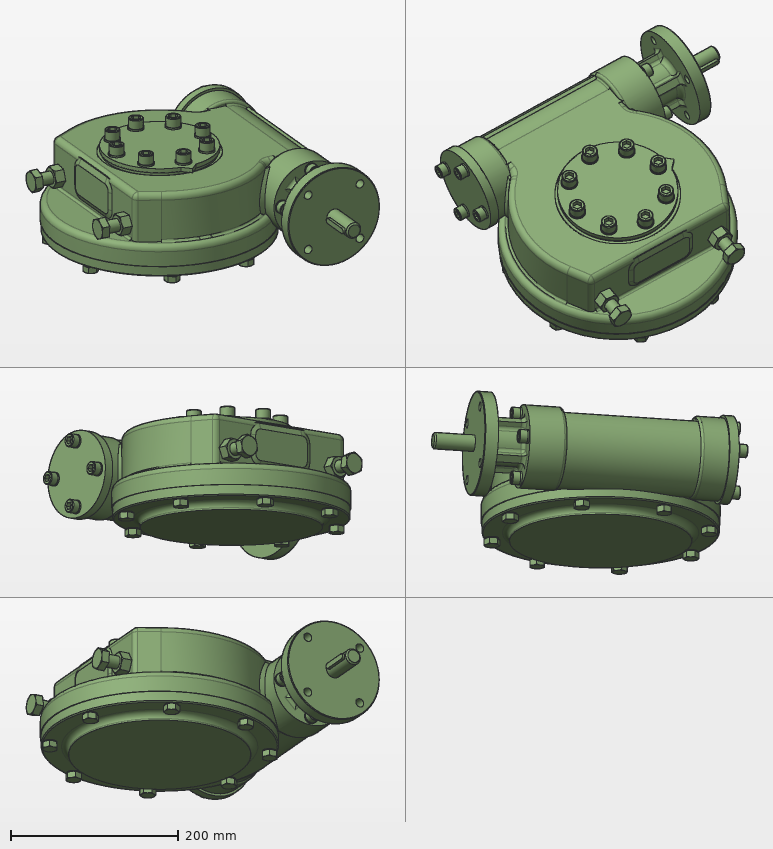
import cadquery as cq
import math


base_radius = 143.0
base_top = 51.0
base_edge_fillet = 8.0
plate_radius = 142.0
plate_top = 23.5
plate_bottom = 10.4
plate_chamfer = 1.5
spigot_radius = 109.0
spigot_fillet = 8.4

base_bolt_count = 8
base_bolt_circle_radius = 132.0
base_bolt_flats = 17.0
base_bolt_bottom = 1.2
base_bolt_washer_diameter = 16.6
base_bolt_washer_height = 1.2

worm_y = 135.42
worm_z = 69.0

housing_radius = 131.0
housing_top = 113.0
housing_front = -90.3
housing_edge_fillet = 8.0
housing_foot_fillet = 3.0
foot_front_length = 188.0
front_tangent_angle = 28.0
neck_half_width = 86.0
neck_corner_radius = 12.0
neck_tangent_angle = 45.0

tube_radius = 47.7
step_inner_y, step_inner_z = 26.8, 34.9
step_outer_y, step_outer_z = 31.4, 35.9
boss_radius = 50.0
boss_inner_x = 81.7
boss_edge_fillet = 3.7
boss_root_fillet = 2.3
boss_web_depth = 4.0
boss_web_spread = 5.2
left_boss_end = -116.0
right_boss_end = 128.0
end_cover_radius = 53.125
end_cover_face = -127.6

cover_recess_diameter = 150.25
cover_recess_depth = 2.0
cover_neck_diameter = 140.0
cover_diameter = 144.0
cover_bottom = 115.0
cover_top = 120.45
pointer_tip_radius = 81.5
pointer_half_width = 20.0
cover_screw_circle_radius = 58.75
cover_screw_count = 8

cover_screw = dict(head_diameter=18.0, flange_diameter=20.0, socket_flats=10.0, head_height=12.0)
end_screw = dict(head_diameter=16.0, flange_diameter=16.6, socket_flats=8.0, head_height=10.0)
screw_flange_height = 2.0
socket_depth = 6.0
screw_chamfer = 1.0
end_screw_circle_radius = 40.0
end_screw_count = 4

pad_width = 92.6
pad_height = 50.3
pad_center_z = 82.2
pad_corner_radius = 14.0
pad_projection = 2.3
pad_slope_width = 5.9

stop_bolt_x = 82.2
stop_bolt_diameter = 16.0
stop_hex_flats = 24.0
stop_nut_end = -103.3
stop_head_start = -120.3
stop_head_end = -130.3
left_stop_bolt = dict(x=-stop_bolt_x, nut_turn=-8.0, head_turn=-20.0)
right_stop_bolt = dict(x=stop_bolt_x, nut_turn=3.0, head_turn=26.0)

flange_start = 169.2
flange_end = 185.9
flange_diameter = 125.0
flange_chamfer = 1.0
flange_hole_circle = 100.0
flange_hole_diameter = 10.5
flange_hole_count = 4
adapter_radius = 25.0
rib_radius = 34.5
rib_width = 10.0
rib_count = 4
rib_root_fillet = 5.0
adapter_end_fillet = 5.0
adapter_flange_fillet = 7.0
shaft_diameter = 20.0
shaft_end = 235.63
shaft_chamfer = 2.0
key_width = 7.0
key_start = 190.0
key_end = 231.4
key_reach = 13.0

overlap = 2.0
tolerance = 0.1


def cylinder_x(radius, x_start, x_end):
    """Cylinder on the worm axis."""
    plane = cq.Workplane("YZ", origin=(x_start, worm_y, worm_z))
    return plane.circle(radius).extrude(x_end - x_start)


def root_ring(radius, fillet, face_x):
    """Concave ring filling the corner between a cylinder on the worm axis and a face at its +X end."""
    return (
        cq.Workplane("XY", origin=(0, worm_y, worm_z))
        .moveTo(face_x + overlap, radius - overlap)
        .lineTo(face_x - fillet, radius - overlap)
        .lineTo(face_x - fillet, radius)
        .radiusArc((face_x, radius + fillet), -fillet)
        .lineTo(face_x + overlap, radius + fillet)
        .close()
        .revolve(360, (0, 0, 0), (1, 0, 0))
    )


def hex_prism(flats, height, turn=0.0):
    """Hexagonal prism standing on the XY plane, its outer corners rounded off by a cone."""
    corner_diameter = flats / math.cos(math.pi / 6)
    prism = cq.Workplane("XY").polygon(6, corner_diameter).extrude(height)
    corner_break = (corner_diameter - flats) / 2
    blank = (
        cq.Workplane("XY")
        .circle(corner_diameter / 2)
        .extrude(height)
        .faces(">Z")
        .chamfer(corner_break / 2, corner_break)
    )
    return prism.intersect(blank).rotate((0, 0, 0), (0, 0, 1), turn)


def socket_screw(head_diameter, flange_diameter, socket_flats, head_height):
    """Flanged socket-head screw seated on the XY plane."""
    top = screw_flange_height + head_height
    flange = cq.Workplane("XY").workplane(offset=-overlap).circle(flange_diameter / 2)
    flange = flange.extrude(screw_flange_height + overlap)
    head = cq.Workplane("XY").circle(head_diameter / 2).extrude(top).faces(">Z").chamfer(screw_chamfer)
    socket_corners = socket_flats / math.cos(math.pi / 6)
    socket = cq.Workplane("XY").workplane(offset=top - socket_depth)
    socket = socket.polygon(6, socket_corners).extrude(socket_depth)
    return flange.union(head).cut(socket)


def place(piece, origin, normal):
    """Move a piece from the XY plane to a seat with the given outward normal."""
    x_direction = (0, 1, 0) if normal[1] == 0 else (1, 0, 0)
    plane = cq.Plane(origin=origin, xDir=x_direction, normal=normal)
    return cq.Workplane(obj=piece.val().moved(plane.location))


def polar(radius, angle_degrees):
    angle = math.radians(angle_degrees)
    return radius * math.cos(angle), radius * math.sin(angle)


def make_base():
    disc = cq.Workplane("XY").workplane(offset=plate_top).circle(base_radius)
    disc = disc.extrude(base_top - plate_top).faces(">Z").edges().fillet(base_edge_fillet)
    plate = cq.Workplane("XY").workplane(offset=plate_bottom).circle(plate_radius)
    plate = plate.extrude(plate_top - plate_bottom).faces("<Z").chamfer(plate_chamfer)
    spigot = (
        cq.Workplane("XZ")
        .lineTo(spigot_radius, 0)
        .lineTo(spigot_radius, plate_bottom - spigot_fillet)
        .radiusArc((spigot_radius + spigot_fillet, plate_bottom), spigot_fillet)
        .lineTo(0, plate_bottom)
        .close()
        .revolve(360, (0, 0, 0), (0, 1, 0))
    )
    return disc.union(plate).union(spigot)


def make_base_bolts():
    bolts = cq.Workplane("XY")
    hex_top = plate_bottom - base_bolt_washer_height
    washer = cq.Workplane("XY").circle(base_bolt_washer_diameter / 2)
    washer = washer.extrude(base_bolt_washer_height + overlap)
    pitch_angle = 360 / base_bolt_count
    for index in range(base_bolt_count):
        x, y = polar(base_bolt_circle_radius, pitch_angle * (index + 0.5))
        head = hex_prism(base_bolt_flats, hex_top - base_bolt_bottom, pitch_angle * (index + 1))
        bolts = bolts.add(head.mirror("XY").union(washer).translate((x, y, hex_top)))
    return bolts


def make_housing():
    front_x, front_y = polar(housing_radius, -front_tangent_angle)
    corner_x = front_x - (front_y - housing_front) * math.tan(math.radians(front_tangent_angle))
    neck_x, neck_y = polar(housing_radius, neck_tangent_angle)
    neck_corner_y = neck_y + (neck_x - neck_half_width) / math.tan(math.radians(neck_tangent_angle))

    block = (
        cq.Workplane("XY")
        .workplane(offset=plate_top)
        .moveTo(corner_x, housing_front)
        .lineTo(front_x, front_y)
        .threePointArc((housing_radius, 0), (neck_x, neck_y))
        .lineTo(neck_half_width, neck_corner_y)
        .lineTo(neck_half_width, worm_y)
        .lineTo(-neck_half_width, worm_y)
        .lineTo(-neck_half_width, neck_corner_y)
        .lineTo(-neck_x, neck_y)
        .threePointArc((-housing_radius, 0), (-front_x, front_y))
        .lineTo(-corner_x, housing_front)
        .close()
        .extrude(housing_top - plate_top)
    )

    def corner_edges(x, y):
        """Selects the upright edges at a corner of the outline and at its mirror image."""
        box = cq.selectors.BoxSelector
        left = box((-x - tolerance, y - tolerance, plate_top), (-x + tolerance, y + tolerance, housing_top))
        right = box((x - tolerance, y - tolerance, plate_top), (x + tolerance, y + tolerance, housing_top))
        return left + right

    block = block.edges(corner_edges(corner_x, housing_front)).fillet(housing_edge_fillet)
    block = block.edges(corner_edges(neck_half_width, neck_corner_y)).fillet(neck_corner_radius)
    block = block.faces(">Z").edges("not >Y").fillet(housing_edge_fillet)

    bridge_depth = math.sqrt(boss_radius**2 - (housing_top - worm_z) ** 2)
    bridge = cq.Workplane("XY").box(
        2 * neck_half_width, bridge_depth, housing_top - base_top, centered=(True, False, False)
    )
    bridge = bridge.translate((0, worm_y - bridge_depth, base_top))
    return block.union(bridge)


def foot_profile(workplane, wall):
    """Concave corner profile between the base top and a wall at the given distance."""
    return (
        workplane.moveTo(wall - overlap, base_top - overlap)
        .lineTo(wall + housing_foot_fillet, base_top - overlap)
        .lineTo(wall + housing_foot_fillet, base_top)
        .radiusArc((wall, base_top + housing_foot_fillet), housing_foot_fillet)
        .lineTo(wall - overlap, base_top + housing_foot_fillet)
        .close()
    )


def make_housing_foot():
    """Rounded inside corners where the round walls and the front wall stand on the base."""
    sweep = front_tangent_angle + neck_tangent_angle
    right = foot_profile(cq.Workplane("XZ"), housing_radius).revolve(sweep, (0, 0, 0), (0, 1, 0))
    right = right.rotate((0, 0, 0), (0, 0, 1), -front_tangent_angle)
    front_plane = cq.Plane(origin=(foot_front_length / 2, 0, 0), xDir=(0, -1, 0), normal=(-1, 0, 0))
    front = foot_profile(cq.Workplane(front_plane), -housing_front).extrude(foot_front_length)
    return right.union(right.mirror("YZ")).union(front)


def make_worm_tube():
    ridge = cylinder_x(housing_top - worm_z, -neck_half_width, neck_half_width)
    tube = cylinder_x(tube_radius, -neck_half_width, neck_half_width)
    reach = 2 * tube_radius
    keep = (
        cq.Workplane("YZ", origin=(-neck_half_width, worm_y, worm_z))
        .lineTo(step_inner_y, step_inner_z)
        .lineTo(step_outer_y, step_outer_z)
        .lineTo(reach, step_outer_z)
        .lineTo(reach, -reach)
        .lineTo(-reach, -reach)
        .lineTo(-reach, 0)
        .close()
        .extrude(2 * neck_half_width)
    )
    return ridge.union(tube.intersect(keep))


def make_bosses():
    left = cylinder_x(boss_radius, left_boss_end, -boss_inner_x).faces(">X").edges().fillet(boss_edge_fillet)
    right = cylinder_x(boss_radius, boss_inner_x, right_boss_end).faces("<X").edges().fillet(boss_edge_fillet)
    cover = cylinder_x(end_cover_radius, end_cover_face, left_boss_end)
    return left.union(right).union(cover)


def make_boss_roots():
    """Concave rounding where the tube ridge runs into the inner faces of the bosses."""
    root = root_ring(housing_top - worm_z, boss_root_fillet, boss_inner_x)
    upper_rear = cq.Workplane("XY", origin=(0, worm_y, worm_z))
    upper_rear = upper_rear.box(right_boss_end, boss_radius, boss_radius, centered=False)
    root = root.intersect(upper_rear)
    return root.union(root.mirror("YZ"))


def make_boss_webs():
    """Conical webs that blend the bosses into the slanted housing walls."""
    side = math.sqrt(0.5)

    def boss_section(wall_offset):
        """Slanted section of the flared boss, parallel to the wall at the given offset."""
        radius = boss_radius + boss_web_spread * (1 - wall_offset / boss_web_depth)
        axis_x = (housing_radius + wall_offset) / side - worm_y
        plane = cq.Plane(origin=(axis_x, worm_y, worm_z), xDir=(side, -side, 0), normal=(side, side, 0))
        return cq.Workplane(plane).ellipse(radius / side, radius).wire().val()

    sections = [boss_section(-overlap), boss_section(boss_web_depth)]
    web = cq.Workplane(obj=cq.Solid.makeLoft(sections, True))
    reach = boss_radius + boss_web_spread + overlap
    bottom = base_top - overlap
    window = cq.Workplane("XY").box(
        reach, reach - boss_radius / 2, housing_top - housing_edge_fillet - bottom, centered=False
    )
    web = web.intersect(window.translate((boss_inner_x, worm_y - reach, bottom)))
    return web.union(web.mirror("YZ"))


def make_end_screws():
    screws = cq.Workplane("XY")
    screw = socket_screw(**end_screw)
    for index in range(end_screw_count):
        y, z = polar(end_screw_circle_radius, 360 / end_screw_count * index)
        for x, direction in ((end_cover_face, -1), (right_boss_end, 1)):
            screws = screws.add(place(screw, (x, worm_y + y, worm_z + z), (direction, 0, 0)))
    return screws


def make_cover_recess():
    recess = cq.Workplane("XY").workplane(offset=housing_top - cover_recess_depth)
    return recess.circle(cover_recess_diameter / 2).extrude(cover_recess_depth)


def make_cover():
    neck_bottom = housing_top - cover_recess_depth - overlap
    neck = cq.Workplane("XY").workplane(offset=neck_bottom).circle(cover_neck_diameter / 2)
    neck = neck.extrude(cover_top - neck_bottom)
    plate = cq.Workplane("XY").workplane(offset=cover_bottom)
    disc = plate.circle(cover_diameter / 2).extrude(cover_top - cover_bottom)
    pointer = (
        plate.moveTo(pointer_tip_radius, 0)
        .lineTo(pointer_tip_radius - pointer_half_width, pointer_half_width)
        .lineTo(pointer_tip_radius - pointer_half_width, -pointer_half_width)
        .close()
        .extrude(cover_top - cover_bottom)
    )
    return neck.union(disc).union(pointer)


def make_cover_screws():
    screws = cq.Workplane("XY")
    screw = socket_screw(**cover_screw)
    for index in range(cover_screw_count):
        x, y = polar(cover_screw_circle_radius, 360 / cover_screw_count * index)
        screws = screws.add(screw.translate((x, y, cover_top)))
    return screws


def make_front_pad():
    taper = math.degrees(math.atan(pad_slope_width / pad_projection))
    sink = pad_projection / 2
    spread = sink * pad_slope_width / pad_projection
    outline = cq.Sketch().rect(pad_width + 2 * spread, pad_height + 2 * spread)
    outline = outline.vertices().fillet(pad_corner_radius + spread)
    plane = cq.Workplane("XZ", origin=(0, housing_front + sink, pad_center_z))
    return plane.placeSketch(outline).extrude(pad_projection + sink, taper=taper)


def make_stop_bolt(x, nut_turn, head_turn):
    def at(piece, y):
        return place(piece, (x, y, worm_z), (0, -1, 0))

    nut = hex_prism(stop_hex_flats, housing_front + overlap - stop_nut_end, nut_turn)
    head = hex_prism(stop_hex_flats, stop_head_start - stop_head_end, head_turn)
    shank_length = housing_front - stop_head_start + overlap
    shank = cq.Workplane("XY").circle(stop_bolt_diameter / 2).extrude(shank_length)
    return at(nut, housing_front + overlap).union(at(shank, housing_front)).union(at(head, stop_head_start))


def adapter_seam(x):
    """Selects the outline of the ribbed tube where it stands on a face at the given X."""
    return cq.selectors.BoxSelector(
        (x - tolerance, worm_y - rib_radius, worm_z - rib_radius),
        (x + tolerance, worm_y + rib_radius, worm_z + rib_radius),
        boundingbox=True,
    )


def make_adapter():
    length = flange_start - right_boss_end
    section = cq.Workplane("YZ", origin=(right_boss_end, worm_y, worm_z))
    tube = section.circle(adapter_radius).extrude(length)
    for index in range(rib_count):
        rib = section.center(rib_radius / 2, 0).rect(rib_radius, rib_width).extrude(length)
        angle = 360 / rib_count * (index + 0.5)
        axis_start = (right_boss_end, worm_y, worm_z)
        axis_end = (flange_start, worm_y, worm_z)
        tube = tube.union(rib.rotate(axis_start, axis_end, angle))

    root_radius = adapter_radius + tolerance
    roots = []
    for edge in tube.edges("|X").vals():
        center = edge.Center()
        if math.hypot(center.y - worm_y, center.z - worm_z) < root_radius:
            roots.append(edge)
    tube = tube.newObject(roots).fillet(rib_root_fillet)

    flange = cylinder_x(flange_diameter / 2, flange_start, flange_end).faces(">X").chamfer(flange_chamfer)
    holes = (
        cq.Workplane("YZ", origin=(flange_start, worm_y, worm_z))
        .polarArray(flange_hole_circle / 2, 180 / flange_hole_count, 360, flange_hole_count)
        .circle(flange_hole_diameter / 2)
        .extrude(flange_end - flange_start)
    )
    boss_end = cylinder_x(boss_radius, right_boss_end - overlap, right_boss_end)
    adapter = tube.union(flange).union(boss_end)
    for seam_x in (right_boss_end, flange_start):
        adapter = adapter.edges(adapter_seam(seam_x)).fillet(adapter_end_fillet)
    adapter = adapter.union(root_ring(adapter_radius, adapter_flange_fillet, flange_start))
    return adapter.cut(holes)


def make_shaft():
    shaft = cylinder_x(shaft_diameter / 2, flange_end - overlap, shaft_end).faces(">X").chamfer(shaft_chamfer)
    key_length = key_end - key_start
    key = cq.Workplane("XZ", origin=((key_start + key_end) / 2, worm_y, worm_z))
    key = key.slot2D(key_length, key_width).extrude(key_reach)
    return shaft.union(key)


result = make_base().union(make_housing()).union(make_housing_foot()).union(make_bosses())
result = result.cut(make_cover_recess())
pieces = [
    make_worm_tube(),
    make_boss_roots(),
    make_boss_webs(),
    make_adapter(),
    make_shaft(),
    make_cover(),
    make_front_pad(),
]
for piece in pieces:
    result = result.union(piece)
for fasteners in (make_base_bolts(), make_end_screws(), make_cover_screws()):
    for fastener in fasteners.vals():
        result = result.union(cq.Workplane(obj=fastener))
for stop_bolt in (left_stop_bolt, right_stop_bolt):
    result = result.union(make_stop_bolt(**stop_bolt))